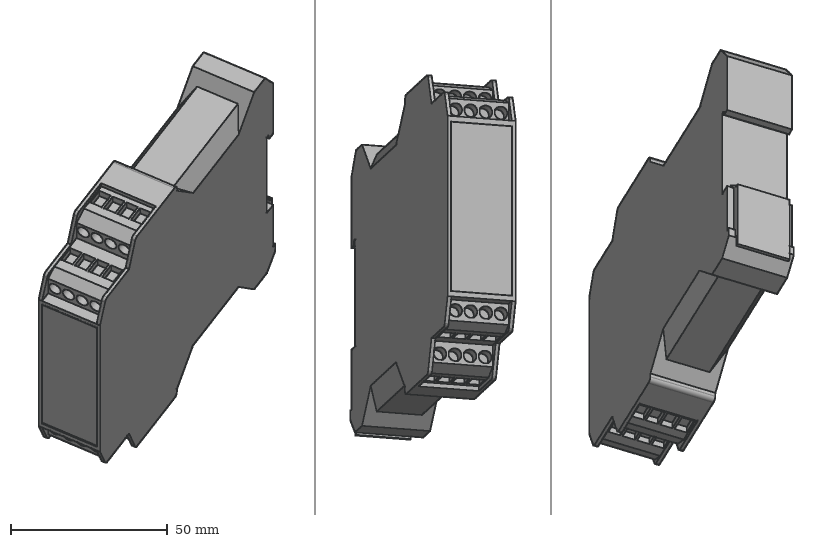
import cadquery as cq


width = 22.6
depth = 114.05
half_height = 49.5

front_half_height = 29.8
step_half_height = 38.8
step_nose_y = 3.65
step_root_y = 18.6
shoulder_nose_y = 22.85
shoulder_back_y = 49.2
shoulder_back_z = 46.7
shoulder_wall_foot_y = 49.3
corner_radius = 1.5

waist_half_height = 35.9
waist_front_y = 59.6
waist_back_y = 88.7
foot_front_y = 98.7
foot_half_height = 46.5
bridge_half_height = 42.5
bridge_top_width = 15.0

foot_top_back_y = 105.7
foot_bottom_back_y = 106.9
foot_chamfer_z = 39.2
back_y = 110.9
rail_seat_y = 106.8
rail_seat_bottom = -18.1
hook_bottom = 15.45
hook_tip_y = 108.3
hook_notch_y = 107.9
hook_notch_z = 17.3
heel_y = 112.3
heel_top = -37.8
heel_bottom = heel_y - foot_bottom_back_y - foot_half_height

clip_width = 18.1
clip_top = -19.2
clip_bottom = -45.5
clip_shoulder_y = 112.7
clip_shoulder_z = -18.5
clip_nose_y = 108.7
clip_nose_z = -15.0
clip_catch_y = 108.3
clip_catch_z = -17.3
clip_tail_y = 113.0
clip_tail_z = -41.0

terminal_width = 20.0
terminal_count = 4
terminal_pitch = 5.0
terminal_back_y = 37.9
upper_top_z = 48.0
upper_bevel_y = 26.85
upper_face_y = 22.1
upper_face_top_z = 45.75
lower_top_z = 38.6
lower_bevel_y = 7.9
lower_face_y = 3.85
lower_face_top_z = 36.7
upper_screw_z = 42.65
lower_screw_z = 33.2
screw_hole_diameter = 4.2
screw_hole_depth = 4.0
wire_slot_width = 4.2
wire_slot_length = 5.8
wire_slot_depth = 2.5
upper_slot_y = 33.05
lower_slot_y = 14.45

label_width = 20.2
label_height = 56.0
label_depth = 0.4


def prism(points, x_size):
    """Extrude a (Y, Z) outline across the width, centred on X = 0."""
    return cq.Workplane("YZ").polyline(points).close().extrude(x_size / 2, both=True)


def box(x_size, y_range, z_range, x_centre=0):
    y_start, y_end = y_range
    z_start, z_end = z_range
    return cq.Workplane("XY").box(x_size, y_end - y_start, z_end - z_start).translate(
        (x_centre, (y_start + y_end) / 2, (z_start + z_end) / 2)
    )


def make_housing():
    upper_front = [
        (0, front_half_height),
        (step_nose_y, step_half_height),
        (step_root_y, step_half_height),
        (shoulder_nose_y, half_height),
        (shoulder_back_y, half_height),
        (shoulder_wall_foot_y, shoulder_back_z),
        (waist_front_y, waist_half_height),
        (waist_back_y, waist_half_height),
        (foot_front_y, foot_half_height),
    ]
    rail_foot = [
        (foot_top_back_y, foot_half_height),
        (back_y, foot_chamfer_z),
        (back_y, hook_bottom),
        (hook_tip_y, hook_bottom),
        (hook_notch_y, hook_notch_z),
        (rail_seat_y, hook_notch_z),
        (rail_seat_y, rail_seat_bottom),
        (back_y, rail_seat_bottom),
        (back_y, heel_top),
        (heel_y, heel_top),
        (heel_y, heel_bottom),
        (foot_bottom_back_y, -foot_half_height),
    ]
    lower_front = [(y, -z) for y, z in reversed(upper_front)]
    housing = prism(upper_front + rail_foot + lower_front, width)
    for y, z in [
        (step_nose_y, step_half_height),
        (shoulder_nose_y, half_height),
        (shoulder_back_y, half_height),
    ]:
        for side in (1, -1):
            corner = cq.selectors.NearestToPointSelector((0, y, side * z))
            housing = housing.edges("|X").edges(corner).fillet(corner_radius)
    return housing


def make_bridge():
    """Core across the waist, tapering from full width to a narrow top and bottom."""
    outline = [
        (-width / 2, -waist_half_height),
        (-bridge_top_width / 2, -bridge_half_height),
        (bridge_top_width / 2, -bridge_half_height),
        (width / 2, -waist_half_height),
        (width / 2, waist_half_height),
        (bridge_top_width / 2, bridge_half_height),
        (-bridge_top_width / 2, bridge_half_height),
        (-width / 2, waist_half_height),
    ]
    start = cq.Workplane("XZ", origin=(0, shoulder_back_y, 0))
    return start.polyline(outline).close().extrude(shoulder_back_y - foot_front_y)


def make_clip():
    outline = [
        (depth, clip_top),
        (clip_shoulder_y, clip_top),
        (clip_shoulder_y, clip_shoulder_z),
        (clip_nose_y, clip_nose_z),
        (clip_catch_y, clip_catch_z),
        (rail_seat_y, clip_catch_z),
        (rail_seat_y, clip_tail_z),
        (clip_tail_y, clip_tail_z),
        (clip_tail_y, clip_bottom),
        (depth, clip_bottom),
    ]
    return prism(outline, clip_width)


def make_terminal_recess():
    """Space above and in front of the upper terminal blocks, between the side walls."""
    outline = [
        (terminal_back_y, half_height),
        (terminal_back_y, upper_top_z),
        (upper_bevel_y, upper_top_z),
        (upper_face_y, upper_face_top_z),
        (upper_face_y, lower_top_z),
        (lower_bevel_y, lower_top_z),
        (lower_face_y, lower_face_top_z),
        (lower_face_y, front_half_height),
        (0, front_half_height),
        (0, half_height),
    ]
    return prism(outline, terminal_width)


def make_terminal_openings(face_y, screw_z, top_z, slot_y):
    """One row of round screw holes in the face and rectangular wire slots in the top."""
    openings = cq.Workplane("XY")
    slot_y_range = (slot_y - wire_slot_length / 2, slot_y + wire_slot_length / 2)
    for index in range(terminal_count):
        x = (index - (terminal_count - 1) / 2) * terminal_pitch
        face = cq.Workplane("XZ", origin=(x, face_y, screw_z))
        hole = face.circle(screw_hole_diameter / 2).extrude(-screw_hole_depth)
        slot = box(wire_slot_width, slot_y_range, (top_z - wire_slot_depth, top_z), x)
        openings = openings.add(hole).add(slot)
    return openings.combine()


def cut_terminals(housing):
    cutters = [
        make_terminal_recess(),
        make_terminal_openings(upper_face_y, upper_screw_z, upper_top_z, upper_slot_y),
        make_terminal_openings(lower_face_y, lower_screw_z, lower_top_z, lower_slot_y),
    ]
    for cutter in cutters:
        housing = housing.cut(cutter).cut(cutter.mirror("XY"))
    return housing


def cut_label(housing):
    half_label = label_height / 2
    return housing.cut(box(label_width, (0, label_depth), (-half_label, half_label)))


body = make_housing().union(make_bridge()).union(make_clip())
result = cut_label(cut_terminals(body))